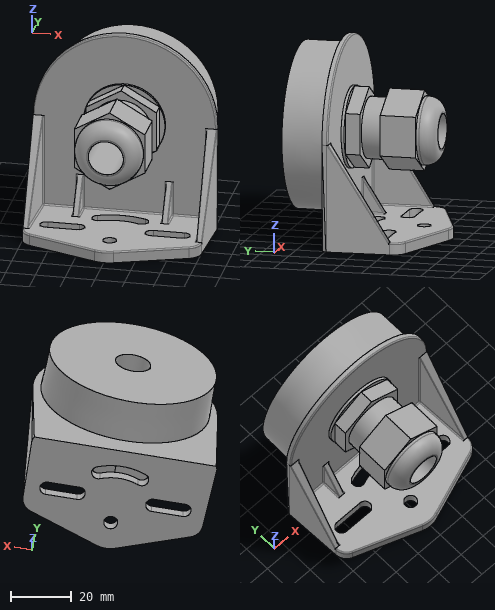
import cadquery as cq
import math


total_height = 67.0
plate_width = 62.0
plate_radius = plate_width / 2
plate_thickness = 2.0
axis_height = total_height - plate_radius
edge_round = 0.5
crest_round = 0.2
relief_width = 0.55
relief_depth = 1.35
relief_tip = 0.015
root_round = 0.5

cup_radius = 28.3
cup_depth = 14.5
cup_draft = 1.0

foot_thickness = 4.0
foot_reach = 34.5
nose_angle = 20.0
nose_radius = 9.4
corner_radius = 5.0
side_taper = 2.3

gusset_reach = 20.5
gusset_inner_root = 27.55
gusset_inner_end = 28.35
rib_slope = (axis_height - foot_thickness) / gusset_reach
rib_thickness = 2.0
rib_spacing = 29.95
rib_reach = 7.65

slot_width = 4.5
slot_y = -16.0
slot_inner_center = 12.45
slot_outer_center = 23.0
pivot_y = -24.8
arc_slot_radius = 18.95
arc_slot_half_angle = 22.5

hex_across_flats = 23.7
hex_corner_diameter = hex_across_flats / math.cos(math.radians(30))
collar_length = 1.0
lock_nut_length = 5.0
thread_length = 6.85
thread_radius = 10.3
cap_nut_length = 12.05
dome_straight = 1.0
dome_round = 5.0
dome_radius = 11.45
bore_radius = 5.9

pick_margin = 0.1

taper_slope = math.tan(math.radians(side_taper))


def half_width(y):
    """Half width of the tapered foot and gussets at a position y in front of the plate's side edge."""
    return plate_radius + (y - edge_round) * taper_slope


def disc(radius, start_y, length):
    """Cylinder on the gland axis running from start_y towards -Y."""
    plane = cq.Workplane("XZ", origin=(0, start_y, axis_height))
    return plane.circle(radius).extrude(length)


def hexagon(start_y, length):
    """Hexagonal prism on the gland axis with one corner pointing up."""
    plane = cq.Workplane("XZ", origin=(0, start_y, axis_height))
    return plane.transformed(rotate=(0, 0, 30)).polygon(6, hex_corner_diameter).extrude(length)


def make_plate():
    plate = (
        cq.Workplane("XZ", origin=(0, plate_thickness, 0))
        .moveTo(-plate_radius, 0)
        .lineTo(plate_radius, 0)
        .lineTo(plate_radius, axis_height)
        .threePointArc((0, total_height), (-plate_radius, axis_height))
        .close()
        .extrude(plate_thickness)
    )
    outline = plate.faces("<Y").edges("not <Z")
    return outline.fillet(edge_round)


def make_relief():
    """Relief on the rear +X edge of the plate, fading out upwards at axis height."""
    return (
        cq.Workplane("XY")
        .polyline([
            (plate_radius, plate_thickness - relief_depth),
            (plate_radius, plate_thickness),
            (plate_radius - relief_width, plate_thickness),
        ])
        .close()
        .workplane(offset=axis_height)
        .polyline([
            (plate_radius, plate_thickness - relief_tip),
            (plate_radius, plate_thickness),
            (plate_radius - relief_tip, plate_thickness),
        ])
        .close()
        .loft(ruled=True)
    )


def make_cup():
    plane = cq.Workplane("XZ", origin=(0, plate_thickness, axis_height))
    return plane.circle(cup_radius).extrude(-cup_depth, taper=cup_draft)


def make_foot():
    nose_slope = math.tan(math.radians(nose_angle))
    sharp_nose_y = -foot_reach - nose_radius * (1 / math.cos(math.radians(nose_angle)) - 1)
    corner_x = (plate_radius + (sharp_nose_y - edge_round) * taper_slope) / (1 - nose_slope * taper_slope)
    corner_y = sharp_nose_y + corner_x * nose_slope
    foot = (
        cq.Workplane("XY")
        .polyline([
            (plate_radius, plate_thickness),
            (plate_radius, edge_round),
            (corner_x, corner_y),
            (0, sharp_nose_y),
            (-corner_x, corner_y),
            (-plate_radius, edge_round),
            (-plate_radius, plate_thickness),
        ])
        .close()
        .extrude(foot_thickness)
    )
    foot = foot.edges("|Z and <Y").fillet(nose_radius)
    corners = cq.selectors.BoxSelector(
        (-plate_radius, corner_y - pick_margin, 0), (plate_radius, corner_y + pick_margin, foot_thickness)
    )
    foot = foot.edges("|Z").edges(corners).fillet(corner_radius)
    return foot.faces(">Z").edges("not >Y").fillet(edge_round)


def sloped_web(reach, start_x, width):
    """Triangular web against the plate, standing on the foot, with the common slope."""
    top = foot_thickness + reach * rib_slope
    return (
        cq.Workplane("YZ", origin=(start_x, 0, 0))
        .polyline([
            (plate_thickness, 0),
            (plate_thickness, top),
            (0, top),
            (-reach, foot_thickness),
            (-reach, 0),
        ])
        .close()
        .extrude(width)
    )


def make_gusset():
    """Gusset on the +X side; thins towards its front end."""
    plan = (
        cq.Workplane("XY")
        .polyline([
            (gusset_inner_root, plate_thickness),
            (plate_radius, plate_thickness),
            (plate_radius, edge_round),
            (half_width(-gusset_reach), -gusset_reach),
            (gusset_inner_end, -gusset_reach),
            (gusset_inner_root, 0),
        ])
        .close()
        .extrude(axis_height)
    )
    return sloped_web(gusset_reach, 0, plate_radius).intersect(plan)


def make_rib(center_x):
    return sloped_web(rib_reach, center_x - rib_thickness / 2, rib_thickness)


def round_roots(body):
    """Fillet the inner corners where plate, foot, gussets and ribs meet."""
    root_zone = cq.selectors.BoxSelector(
        (-gusset_inner_end, -gusset_reach, foot_thickness - pick_margin),
        (gusset_inner_end, pick_margin, foot_thickness + pick_margin),
    )
    upright_zone = cq.selectors.BoxSelector(
        (-gusset_inner_end, -pick_margin, foot_thickness),
        (gusset_inner_end, pick_margin, axis_height),
    )
    uprights = body.edges("|Z").edges(upright_zone)
    rib_fronts = cq.selectors.BoxSelector(
        (-rib_spacing, -rib_reach - pick_margin, 0), (rib_spacing, -rib_reach + pick_margin, axis_height)
    )
    floor_roots = body.edges(root_zone - rib_fronts)
    return floor_roots.add(uprights).fillet(root_round)


def round_crests(body):
    """Round the two long edges of each gusset's and rib's sloping crest."""
    slope_angle = math.atan(rib_slope)
    slope_normal = cq.Vector(0, -math.sin(slope_angle), math.cos(slope_angle))
    crest = body.faces(cq.selectors.ParallelDirSelector(slope_normal))
    return crest.edges("not |X").fillet(crest_round)


def make_arc_slot():
    """Slot curved about the pivot hole."""
    angle = math.radians(arc_slot_half_angle)
    outer = arc_slot_radius + slot_width / 2
    inner = arc_slot_radius - slot_width / 2
    end_x = arc_slot_radius * math.sin(angle)
    end_y = arc_slot_radius * math.cos(angle)
    cap_x = end_x + slot_width / 2 * math.cos(angle)
    cap_y = end_y - slot_width / 2 * math.sin(angle)
    return (
        cq.Workplane("XY", origin=(0, pivot_y, 0))
        .moveTo(-outer * math.sin(angle), outer * math.cos(angle))
        .threePointArc((0, outer), (outer * math.sin(angle), outer * math.cos(angle)))
        .threePointArc((cap_x, cap_y), (inner * math.sin(angle), inner * math.cos(angle)))
        .threePointArc((0, inner), (-inner * math.sin(angle), inner * math.cos(angle)))
        .threePointArc((-cap_x, cap_y), (-outer * math.sin(angle), outer * math.cos(angle)))
        .close()
        .extrude(foot_thickness)
    )


def cut_foot_openings(body):
    slot_center = (slot_inner_center + slot_outer_center) / 2
    slot_length = slot_outer_center - slot_inner_center + slot_width
    straight_slots = (
        cq.Workplane("XY")
        .pushPoints([(-slot_center, slot_y), (slot_center, slot_y)])
        .slot2D(slot_length, slot_width)
        .extrude(foot_thickness)
    )
    pivot_hole = cq.Workplane("XY").center(0, pivot_y).circle(slot_width / 2).extrude(foot_thickness)
    return body.cut(straight_slots).cut(pivot_hole).cut(make_arc_slot())


def make_gland():
    lock_nut_y = -collar_length
    thread_y = lock_nut_y - lock_nut_length
    cap_nut_y = thread_y - thread_length
    dome_y = cap_nut_y - cap_nut_length
    collar = disc(hex_corner_diameter / 2, 0, collar_length)
    dome = disc(dome_radius, dome_y, dome_straight + dome_round).faces("<Y").edges().fillet(dome_round)
    return (
        collar
        .union(hexagon(lock_nut_y, lock_nut_length))
        .union(disc(thread_radius, thread_y, thread_length))
        .union(hexagon(cap_nut_y, cap_nut_length))
        .union(dome)
    )


gusset = make_gusset()
bracket = make_plate().union(make_foot()).union(gusset).union(gusset.mirror("YZ"))
for rib_x in (-rib_spacing / 2, rib_spacing / 2):
    bracket = bracket.union(make_rib(rib_x))
bracket = round_roots(bracket)
bracket = round_crests(bracket)
bracket = cut_foot_openings(bracket)
relief = make_relief()
bracket = bracket.cut(relief).cut(relief.mirror("YZ"))

result = bracket.union(make_cup()).union(make_gland())
cup_back = plate_thickness + cup_depth
bore = disc(bore_radius, cup_back, cup_back + foot_reach)
result = result.cut(bore)